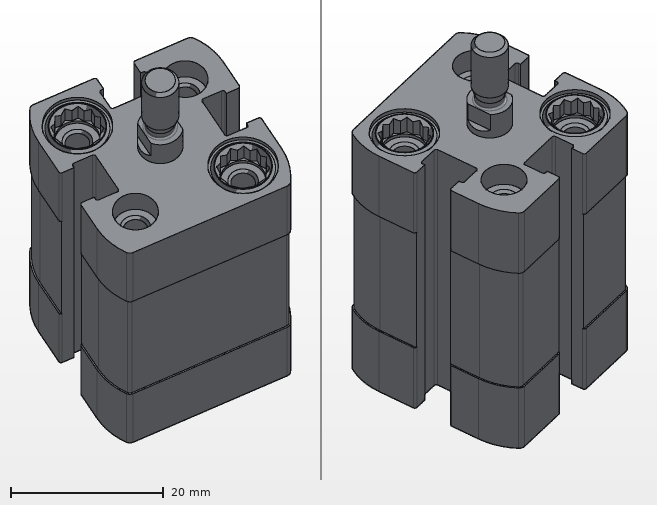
import cadquery as cq
import math


total_height = 55.55
housing_width = 27.5
housing_height = 41.4
cap_height = 10.6
barrel_inset = 0.2

crown_radius = 10.0
crown_center_x = 8.0
corner_fillet = 0.9

slot_shift = 0.6
slot_opening = 5.5
slot_inner_width = 6.85
slot_depth = 5.5
slot_lip = 2.1
slot_corner_fillet = 0.35
slot_mouth_fillet = 0.35

hole_offset = 8.0
through_diameter = 3.2
countersink_diameter = 4.0
counterbore_diameter = 6.0
counterbore_depth = 3.5

socket_diameter = 9.2
collar_base_diameter = 8.5
collar_top_diameter = 7.65
collar_mouth_diameter = 7.45
groove_depth = 0.6
collar_recess = 0.15
funnel_bottom_diameter = 6.0
funnel_bottom_depth = 0.9
spline_flats = 6.0
spline_depth = 3.0

rod_diameter = 6.0
rod_insertion = cap_height
shoulder_height = 4.1
neck_diameter = 3.95
neck_fillet = 0.3
neck_top_height = 5.15
thread_diameter = 4.9
thread_bottom_height = 6.55
thread_tip_diameter = 3.95
tip_chamfer_height = 0.5
flats_width = 4.8
flats_height = 1.4
flats_runout = 0.4


def slot_mouths(half):
    """Return the (x, y) corners where the slots open on a section of this half width."""
    corners = []
    for side in (-1, 1):
        edge = side * slot_opening / 2
        corners.append((-half, slot_shift + edge))
        corners.append((slot_shift + edge, -half))
        corners.append((-slot_shift + edge, half))
    return corners


def housing_section(inset, bottom, height):
    """Crowned block, moved inward by the inset on all four sides."""
    half = housing_width / 2 - inset
    radius = crown_radius - inset
    center_y = half - radius

    def crown_y(x):
        return center_y + math.sqrt(radius**2 - (x - crown_center_x) ** 2)

    mid_x = (crown_center_x + half) / 2
    return (
        cq.Workplane("XY")
        .workplane(offset=bottom)
        .moveTo(-crown_center_x, half)
        .lineTo(crown_center_x, half)
        .threePointArc((mid_x, crown_y(mid_x)), (half, crown_y(half)))
        .lineTo(half, -crown_y(half))
        .threePointArc((mid_x, -crown_y(mid_x)), (crown_center_x, -half))
        .lineTo(-crown_center_x, -half)
        .threePointArc((-mid_x, -crown_y(mid_x)), (-half, -crown_y(half)))
        .lineTo(-half, crown_y(half))
        .threePointArc((-mid_x, crown_y(mid_x)), (-crown_center_x, half))
        .close()
        .extrude(height)
        .edges("|Z and (<X or >X)")
        .fillet(corner_fillet - inset)
    )


def slot_cutter():
    """T-slot cutter for the -Y side, running the full housing height."""
    side_y = -housing_width / 2
    inner = (
        cq.Workplane("XY")
        .center(slot_shift, side_y + (slot_lip + slot_depth) / 2)
        .rect(slot_inner_width, slot_depth - slot_lip)
        .extrude(housing_height)
        .edges("|Z")
        .fillet(slot_corner_fillet)
    )
    opening = (
        cq.Workplane("XY")
        .center(slot_shift, side_y + slot_depth / 2)
        .rect(slot_opening, slot_depth)
        .extrude(housing_height)
    )
    return inner.union(opening)


def cut_slots(section):
    """Cut the slots into the -Y, +Y and -X sides."""
    cutter = slot_cutter()
    section = section.cut(cutter)
    section = section.cut(cutter.rotate((0, 0, 0), (0, 0, 1), 180))
    return section.cut(cutter.mirror("YZ").rotate((0, 0, 0), (0, 0, 1), -90))


def end_cap(bottom):
    """End cap with rounded slot mouths."""
    cap = cut_slots(housing_section(0, bottom, cap_height))
    for x, y in slot_mouths(housing_width / 2):
        mouth = (x, y, bottom + cap_height / 2)
        cap = cap.edges(cq.selectors.NearestToPointSelector(mouth)).fillet(slot_mouth_fillet)
    return cap


def mounting_hole():
    """Cutter on the Z axis: counterbore, countersink and through hole."""
    floor = housing_height - counterbore_depth
    sink_depth = (countersink_diameter - through_diameter) / 2
    return (
        cq.Workplane("XZ")
        .lineTo(through_diameter / 2, 0)
        .lineTo(through_diameter / 2, floor - sink_depth)
        .lineTo(countersink_diameter / 2, floor)
        .lineTo(counterbore_diameter / 2, floor)
        .lineTo(counterbore_diameter / 2, housing_height)
        .lineTo(0, housing_height)
        .close()
        .revolve(360, (0, 0), (0, 1))
    )


def spline_socket():
    """Cutter on the Z axis: the space around a tapered collar and its twelve-point socket."""
    recess_z = housing_height - collar_recess
    rim = (
        cq.Workplane("XZ")
        .moveTo(0, housing_height)
        .lineTo(socket_diameter / 2, housing_height)
        .lineTo(socket_diameter / 2, housing_height - groove_depth)
        .lineTo(collar_base_diameter / 2, housing_height - groove_depth)
        .lineTo(collar_top_diameter / 2, recess_z)
        .lineTo(collar_mouth_diameter / 2, recess_z)
        .lineTo(funnel_bottom_diameter / 2, housing_height - funnel_bottom_depth)
        .lineTo(0, housing_height - funnel_bottom_depth)
        .close()
        .revolve(360, (0, 0), (0, 1))
    )
    hexagon = (
        cq.Workplane("XY")
        .workplane(offset=housing_height - spline_depth)
        .polygon(6, spline_flats, circumscribed=True)
        .extrude(spline_depth - collar_recess)
    )
    star = hexagon.union(hexagon.rotate((0, 0, 0), (0, 0, 1), 30))
    return rim.union(star)


def make_housing():
    """Two end caps and the barrel between them, with mounting holes and the rod hole."""
    barrel_height = housing_height - 2 * cap_height
    barrel = cut_slots(housing_section(barrel_inset, cap_height, barrel_height))
    body = barrel.union(end_cap(0)).union(end_cap(housing_height - cap_height))
    for side_x in (-1, 1):
        for side_y in (-1, 1):
            place = (side_x * hole_offset, side_y * hole_offset, 0)
            body = body.cut(mounting_hole().translate(place))
            if side_x == side_y:
                body = body.cut(spline_socket().translate(place))
    rod_hole = (
        cq.Workplane("XY")
        .workplane(offset=housing_height - rod_insertion)
        .circle(rod_diameter / 2)
        .extrude(rod_insertion)
    )
    return body.cut(rod_hole)


def flat_cutter():
    """Cutter for the wrench flat on the +Y side, with a sloping runout at its bottom."""
    flat_y = flats_width / 2
    rod_y = rod_diameter / 2
    return (
        cq.Workplane("YZ")
        .moveTo(flat_y, housing_height + flats_height)
        .lineTo(rod_y, housing_height + flats_height - flats_runout)
        .lineTo(rod_y, housing_height + shoulder_height)
        .lineTo(flat_y, housing_height + shoulder_height)
        .close()
        .extrude(rod_diameter / 2, both=True)
    )


def make_rod():
    """Turned piston rod: shank, necked undercut and chamfered thread cylinder."""
    shoulder_z = housing_height + shoulder_height
    neck_r = neck_diameter / 2
    arc_offset = neck_fillet * (1 - math.sqrt(0.5))
    rod = (
        cq.Workplane("XZ")
        .moveTo(0, housing_height - rod_insertion)
        .lineTo(rod_diameter / 2, housing_height - rod_insertion)
        .lineTo(rod_diameter / 2, shoulder_z)
        .lineTo(neck_r + neck_fillet, shoulder_z)
        .threePointArc(
            (neck_r + arc_offset, shoulder_z + arc_offset),
            (neck_r, shoulder_z + neck_fillet),
        )
        .lineTo(neck_r, housing_height + neck_top_height)
        .lineTo(thread_diameter / 2, housing_height + thread_bottom_height)
        .lineTo(thread_diameter / 2, total_height - tip_chamfer_height)
        .lineTo(thread_tip_diameter / 2, total_height)
        .lineTo(0, total_height)
        .close()
        .revolve(360, (0, 0), (0, 1))
    )
    flat = flat_cutter()
    return rod.cut(flat).cut(flat.mirror("XZ"))


housing = make_housing()
rod = make_rod()

result = cq.Compound.makeCompound([housing.solids().val(), rod.solids().val()])